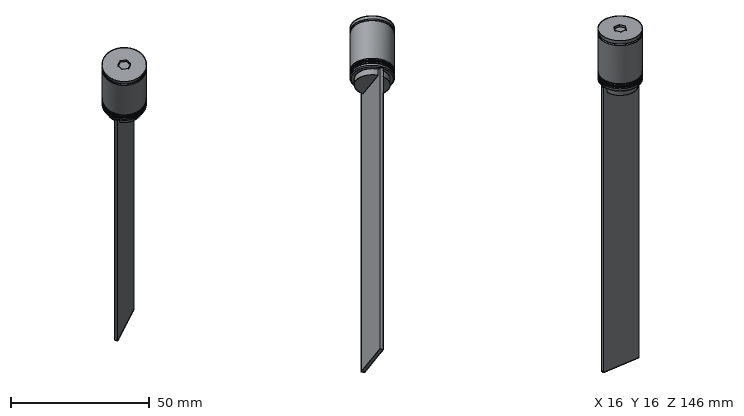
import cadquery as cq

TOTAL_HEIGHT = 146.0
OUTER_DIAMETER = 16.0
OUTER_RADIUS = OUTER_DIAMETER / 2

CAP_THICKNESS = 1.8
EDGE_CHAMFER = 0.36
SOCKET_ACROSS_FLATS = 4.1
SOCKET_DEPTH = 0.9

BARREL_LENGTH = 20.5
BARREL_BOTTOM_CHAMFER = 0.5
NECK_DIAMETER = 13.0
NECK_LENGTH = 2.6
GROOVE_DEPTH = 0.1
GROOVE_WIDTH = 0.9
GROOVE_HEIGHTS = (1.8, 3.0)

BLADE_THICKNESS = 1.3
BLADE_WIDTH = OUTER_DIAMETER

CAP_BOTTOM = TOTAL_HEIGHT - CAP_THICKNESS
SHOULDER = CAP_BOTTOM - BARREL_LENGTH
NECK_BOTTOM = SHOULDER - NECK_LENGTH


def disc(diameter, bottom, height):
    """Upright cylinder on the Z axis."""
    return cq.Workplane("XY").workplane(offset=bottom).circle(diameter / 2).extrude(height)


def make_cap():
    """Disc with a chamfered lower edge and a blind hexagon socket with two flats facing along X."""
    cap = disc(OUTER_DIAMETER, CAP_BOTTOM, CAP_THICKNESS).faces("<Z").chamfer(EDGE_CHAMFER)
    socket = (
        cq.Workplane("XY")
        .workplane(offset=TOTAL_HEIGHT - SOCKET_DEPTH)
        .polygon(6, SOCKET_ACROSS_FLATS, circumscribed=True)
        .extrude(SOCKET_DEPTH)
    )
    return cap.cut(socket)


def v_groove(height):
    """Ring of triangular section that cuts a groove into the barrel."""
    half_width = GROOVE_WIDTH / 2
    return (
        cq.Workplane("XZ")
        .moveTo(OUTER_RADIUS - GROOVE_DEPTH, height)
        .lineTo(OUTER_RADIUS, height + half_width)
        .lineTo(OUTER_RADIUS, height - half_width)
        .close()
        .revolve(360, (0, 0, 0), (0, 1, 0))
    )


def make_blade():
    """Flat strip that reaches up through the neck to the barrel shoulder."""
    return cq.Workplane("XY").box(
        BLADE_THICKNESS, BLADE_WIDTH, SHOULDER, centered=(True, True, False)
    )


def make_barrel(blade):
    """Chamfered cylinder with grooves, and a neck slotted for the blade."""
    barrel = (
        disc(OUTER_DIAMETER, SHOULDER, BARREL_LENGTH)
        .faces(">Z").chamfer(EDGE_CHAMFER)
        .faces("<Z").chamfer(BARREL_BOTTOM_CHAMFER)
    )
    for height in GROOVE_HEIGHTS:
        barrel = barrel.cut(v_groove(SHOULDER + height))
    neck = disc(NECK_DIAMETER, NECK_BOTTOM, NECK_LENGTH)
    return barrel.union(neck).cut(blade)


cap = make_cap()
blade = make_blade()
barrel = make_barrel(blade)

result = cq.Compound.makeCompound([cap.val(), barrel.val(), blade.val()])